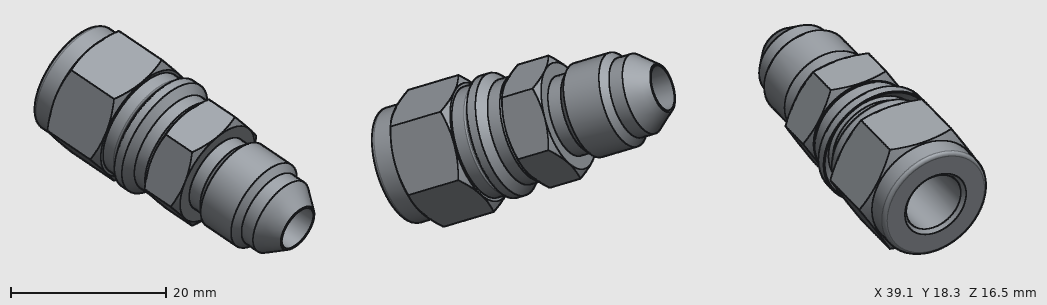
import cadquery as cq
import math

nut_start = 3.0
nut_end = 12.0
nut_skirt_end = 13.95
flange_start = 14.65
flange_rim_end = 15.95
flange_cone_end = 17.07
shoulder_end = 19.22
body_hex_end = 25.1
thread_start = 27.0
thread_end = 34.2
nose_start = 36.18
length = 39.07

collar_diameter = 15.5
skirt_diameter = 15.0
thread_diameter = 12.7
flange_diameter = 16.5
shoulder_diameter = 14.2
neck_diameter = 10.8
nose_diameter = 6.52

recess_diameter = 16.05
recess_floor_start = 15.5

nut_corners = 18.32
body_hex_corners = 16.5
hex_chamfer_angle = 30.0

collar_round = 0.5
shoulder_chamfer = 0.3
skirt_round = 0.2

bore_diameter = 6.0
socket_diameter = 8.13
socket_depth = 9.75
mouth_chamfer = 0.5


def cylinder(start, end, diameter):
    """Solid cylinder along X."""
    return cq.Workplane("YZ").workplane(offset=start).circle(diameter / 2).extrude(end - start)


def revolve_profile(points):
    """Turn (x, radius) points about the X axis."""
    return cq.Workplane("XY").polyline(points).close().revolve(360, (0, 0, 0), (1, 0, 0))


def chamfered_hex(start, end, corners, start_face_diameter, end_face_diameter):
    """Hexagonal prism along X, its corners turned off by a cone at each end."""
    prism = cq.Workplane("YZ").workplane(offset=start).polygon(6, corners).extrude(end - start)
    slope = math.tan(math.radians(hex_chamfer_angle))
    start_run = (corners - start_face_diameter) / 2 * slope
    end_run = (corners - end_face_diameter) / 2 * slope
    envelope = revolve_profile([
        (start, 0),
        (start, start_face_diameter / 2),
        (start + start_run, corners / 2),
        (end - end_run, corners / 2),
        (end, end_face_diameter / 2),
        (end, 0),
    ])
    return prism.intersect(envelope)


nut_flats = nut_corners * math.cos(math.pi / 6)
collar = cylinder(0, nut_start, collar_diameter).faces("<X").edges().fillet(collar_round)
nut_hex = chamfered_hex(nut_start, nut_end, nut_corners, collar_diameter, nut_flats)
skirt = cylinder(nut_end, nut_skirt_end, skirt_diameter)
skirt = skirt.faces(">X").edges().fillet(skirt_round)

neck = cylinder(nut_skirt_end, flange_start, thread_diameter)
recess_width = (recess_diameter - thread_diameter) / 2
recess_apex = (flange_start + recess_floor_start + recess_width) / 2
recess_apex_radius = thread_diameter / 2 + recess_apex - recess_floor_start
flange = revolve_profile([
    (flange_start, 0),
    (flange_start, thread_diameter / 2),
    (recess_floor_start, thread_diameter / 2),
    (recess_apex, recess_apex_radius),
    (flange_start, recess_diameter / 2),
    (flange_start, flange_diameter / 2),
    (flange_rim_end, flange_diameter / 2),
    (flange_cone_end, shoulder_diameter / 2),
    (flange_cone_end, 0),
])
shoulder = cylinder(flange_cone_end, shoulder_end, shoulder_diameter)
shoulder = shoulder.faces(">X").edges().chamfer(shoulder_chamfer)

body_hex_flats = body_hex_corners * math.cos(math.pi / 6)
body_hex = chamfered_hex(shoulder_end, body_hex_end, body_hex_corners, shoulder_diameter, body_hex_flats)

thread_bevel = (thread_diameter - neck_diameter) / 2
flared_end = revolve_profile([
    (body_hex_end, 0),
    (body_hex_end, neck_diameter / 2),
    (thread_start, neck_diameter / 2),
    (thread_start + thread_bevel, thread_diameter / 2),
    (thread_end - thread_bevel, thread_diameter / 2),
    (thread_end, neck_diameter / 2),
    (nose_start, neck_diameter / 2),
    (length, nose_diameter / 2),
    (length, 0),
])

mouth_radius = socket_diameter / 2 + mouth_chamfer
bore = revolve_profile([
    (0, 0),
    (0, mouth_radius),
    (mouth_chamfer, socket_diameter / 2),
    (socket_depth, socket_diameter / 2),
    (socket_depth, bore_diameter / 2),
    (length, bore_diameter / 2),
    (length, 0),
])

result = collar
for section in (nut_hex, skirt, neck, flange, shoulder, body_hex, flared_end):
    result = result.union(section)
result = result.cut(bore)